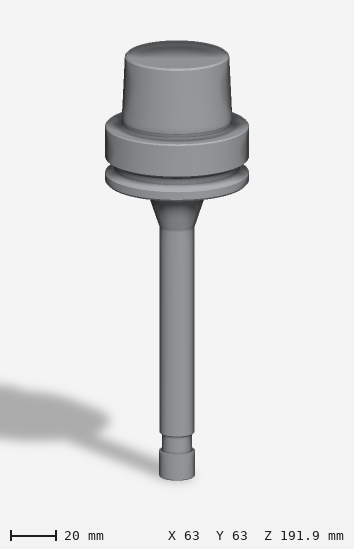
import cadquery as cq

total_height = 191.9
tip_collar_top = 11.7
shaft_bottom = 19.4
shaft_top = 113.2
cone_bottom = 114.8
cone_top = 131.3
flange_bottom = 134.0
flange_height = 26.1
groove_bottom = 140.5
groove_top = 143.3
taper_bottom = 162.7

shaft_radius = 7.7
tip_collar_radius = 7.9
tip_neck_radius = 6.5
cone_bottom_radius = 8.0
cone_top_radius = 13.6
cone_root_radius = 16.3
flange_radius = 31.5
groove_radius = 27.6
taper_base_radius = 24.2
taper_top_radius = 22.8
relief_radius = 24.0
foot_radius = 26.0

tip_chamfer = 0.4
shaft_chamfer = 0.8
flange_chamfer = 1.0
flange_top_chamfer = 0.5
groove_flank_height = 2.1
taper_top_chamfer = 0.8
relief_chamfer = 0.4
foot_height = 1.0

flange_top = flange_bottom + flange_height

root_height = flange_bottom - cone_top
root_width = cone_root_radius - cone_top_radius


def shaft_profile(profile):
    """Grooved tip, straight shaft, and cone flaring into the flange face."""
    return (
        profile.lineTo(tip_collar_radius - tip_chamfer, 0)
        .lineTo(tip_collar_radius, tip_chamfer)
        .lineTo(tip_collar_radius, tip_collar_top)
        .lineTo(tip_neck_radius, tip_collar_top)
        .lineTo(tip_neck_radius, shaft_bottom)
        .lineTo(shaft_radius - shaft_chamfer, shaft_bottom)
        .lineTo(shaft_radius, shaft_bottom + shaft_chamfer)
        .lineTo(shaft_radius, shaft_top)
        .tangentArcPoint((cone_bottom_radius, cone_bottom), relative=False)
        .lineTo(cone_top_radius, cone_top)
        .tangentArcPoint((root_width, root_height), relative=True)
    )


def flange_profile(profile):
    """Flange with a V-flanked gripper groove."""
    return (
        profile.lineTo(flange_radius - flange_chamfer, flange_bottom)
        .lineTo(flange_radius, flange_bottom + flange_chamfer)
        .lineTo(flange_radius, groove_bottom - groove_flank_height)
        .lineTo(groove_radius, groove_bottom)
        .lineTo(groove_radius, groove_top)
        .lineTo(flange_radius, groove_top + groove_flank_height)
        .lineTo(flange_radius, flange_top - flange_top_chamfer)
        .lineTo(flange_radius - flange_top_chamfer, flange_top)
    )


def taper_profile(profile):
    """Concave foot blending from the flange, short relief, and the clamping taper."""
    return (
        profile.lineTo(foot_radius, flange_top)
        .tangentArcPoint((relief_radius, flange_top + foot_height), relative=False)
        .lineTo(relief_radius, taper_bottom - relief_chamfer)
        .lineTo(taper_base_radius, taper_bottom)
        .lineTo(taper_top_radius, total_height - taper_top_chamfer)
        .lineTo(taper_top_radius - taper_top_chamfer, total_height)
        .lineTo(0, total_height)
    )


outline = taper_profile(flange_profile(shaft_profile(cq.Workplane("XZ").moveTo(0, 0))))
result = outline.close().revolve(360, (0, 0, 0), (0, 1, 0))